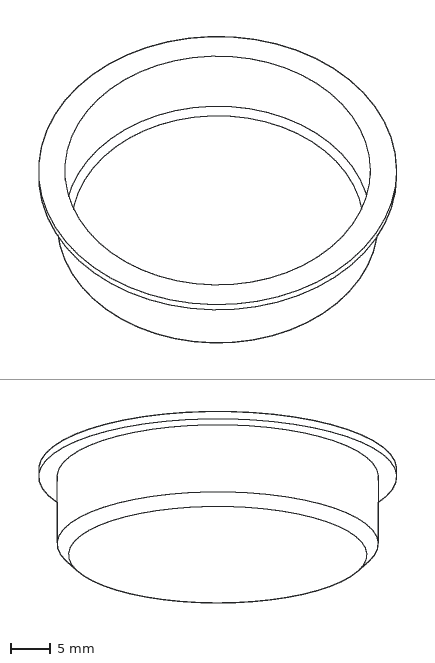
import cadquery as cq

flange_diameter = 45.7
flange_thickness = 1.0

total_height = 11.5
body_diameter = 41.0
base_chamfer = 1.45

cavity_diameter = 39.0
floor_thickness = 1.0
cavity_chamfer = 0.85


def make_body():
    """Solid cup body with a chamfered lower edge, standing on Z = 0."""
    body = cq.Workplane("XY").circle(body_diameter / 2).extrude(total_height)
    return body.faces("<Z").edges().chamfer(base_chamfer)


def make_flange():
    """Thin disc flush with the top of the cup."""
    flange_bottom = total_height - flange_thickness
    return (
        cq.Workplane("XY")
        .workplane(offset=flange_bottom)
        .circle(flange_diameter / 2)
        .extrude(flange_thickness)
    )


def make_cavity():
    """Volume removed from the cup, chamfered where its wall meets the floor."""
    cavity = (
        cq.Workplane("XY")
        .workplane(offset=floor_thickness)
        .circle(cavity_diameter / 2)
        .extrude(total_height - floor_thickness)
    )
    return cavity.faces("<Z").edges().chamfer(cavity_chamfer)


result = make_body().union(make_flange()).cut(make_cavity())